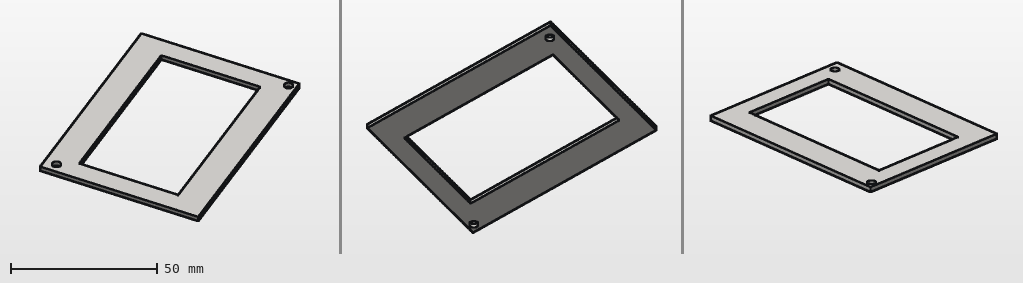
import cadquery as cq

width = 60.3
length = 78.5
thickness = 2.0

side_border = 11.3
end_border = 7.45
window_width = width - 2 * side_border
window_length = length - 2 * end_border

hole_diameter = 3.0
upper_hole_side_inset = 2.9
upper_hole_end_inset = 2.5
lower_hole_side_inset = 4.5
lower_hole_end_inset = 3.6
hole_centres = [
    (width / 2 - upper_hole_side_inset, length / 2 - upper_hole_end_inset),
    (-width / 2 + lower_hole_side_inset, -length / 2 + lower_hole_end_inset),
]

plate = cq.Workplane("XY").box(width, length, thickness)
frame = plate.faces(">Z").workplane().rect(window_width, window_length).cutThruAll()
result = frame.faces(">Z").workplane(origin=(0, 0, 0)).pushPoints(hole_centres).hole(hole_diameter)